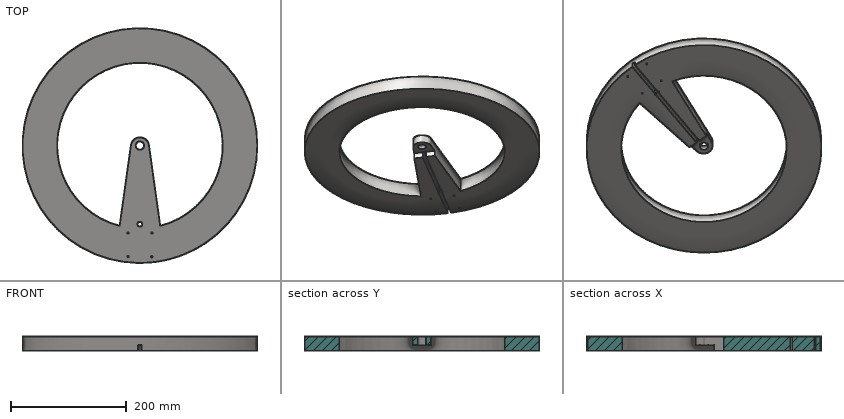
import cadquery as cq
import math

ring_diameter = 405.0
bore_diameter = 285.0
thickness = 25.0

tip_radius = 15.88
tip_center_y = -1.6
arm_root_half_width = 35.4
arm_root_y = -140.0
arm_end_y = -160.0

tip_thickness = 15.0
tip_relief_end_y = -17.5
relief_width = 4 * tip_radius

pivot_diameter = 14.0
wire_hole_diameter = 8.0
wire_hole_y = -135.5
screw_diameter = 2.0
screw_spacing = 41.0
screw_pattern_y = -171.0

channel_width = 6.0
channel_height = 11.0


def make_ring():
    """Flat ring standing on the XY plane."""
    return cq.Workplane("XY").circle(ring_diameter / 2).circle(bore_diameter / 2).extrude(thickness)


def make_arm():
    """Arm with straight flanks tangent to its rounded tip."""
    root_drop = arm_root_y - tip_center_y
    root_distance = math.hypot(arm_root_half_width, root_drop)
    root_angle = math.atan2(root_drop, arm_root_half_width)
    tangent_angle = root_angle + math.acos(tip_radius / root_distance)
    tangent_x = tip_radius * math.cos(tangent_angle)
    tangent_y = tip_center_y + tip_radius * math.sin(tangent_angle)
    arm = (
        cq.Workplane("XY")
        .moveTo(tangent_x, tangent_y)
        .threePointArc((0, tip_center_y + tip_radius), (-tangent_x, tangent_y))
        .lineTo(-arm_root_half_width, arm_root_y)
        .lineTo(-arm_root_half_width, arm_end_y)
        .lineTo(arm_root_half_width, arm_end_y)
        .lineTo(arm_root_half_width, arm_root_y)
        .close()
        .extrude(thickness)
    )
    return arm.cut(make_tip_relief())


def make_tip_relief():
    """Block below the arm tip, leaving only the upper part of the arm."""
    return (
        cq.Workplane("XY")
        .rect(relief_width, -2 * tip_relief_end_y)
        .extrude(thickness - tip_thickness)
    )


def make_hole(diameter, y):
    """Vertical cutter through the full thickness, on the arm's centreline."""
    return cq.Workplane("XY").center(0, y).circle(diameter / 2).extrude(thickness)


def make_screw_holes():
    """Cutters for a square pattern of holes through the ring."""
    return (
        cq.Workplane("XY", origin=(0, screw_pattern_y, 0))
        .rect(screw_spacing, screw_spacing, forConstruction=True)
        .vertices()
        .circle(screw_diameter / 2)
        .extrude(thickness)
    )


def make_channel():
    """Round-topped channel from the rim, past the wire hole, to the tip relief."""
    half_width = channel_width / 2
    shoulder_height = channel_height - half_width
    return (
        cq.Workplane("XZ", origin=(0, tip_relief_end_y, 0))
        .moveTo(-half_width, 0)
        .lineTo(-half_width, shoulder_height)
        .threePointArc((0, channel_height), (half_width, shoulder_height))
        .lineTo(half_width, 0)
        .close()
        .extrude(ring_diameter / 2 + tip_relief_end_y)
    )


result = make_ring().union(make_arm())
result = result.cut(make_hole(pivot_diameter, 0))
result = result.cut(make_hole(wire_hole_diameter, wire_hole_y))
result = result.cut(make_screw_holes())
result = result.cut(make_channel())